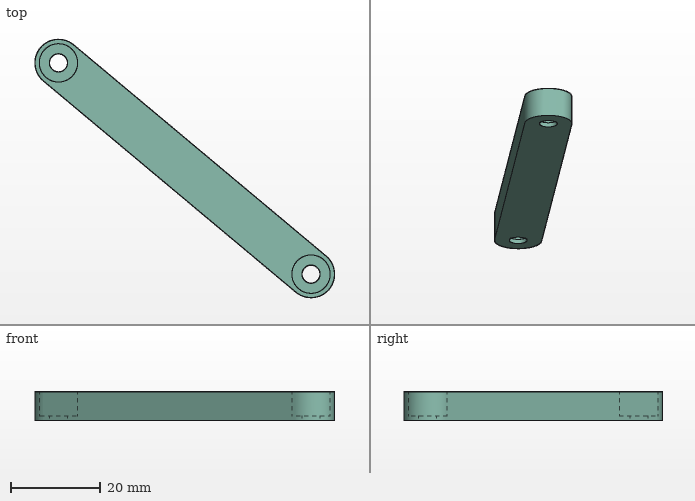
import cadquery as cq

size_x = 67.22
size_y = 57.97
thickness = 6.5

hole_diameter = 4.0
counterbore_diameter = 8.6
seat_floor = 1.0
counterbore_depth = thickness - seat_floor

rim_width = 1.0
end_radius = counterbore_diameter / 2 + rim_width

half_x = size_x / 2 - end_radius
half_y = size_y / 2 - end_radius
end_centers = [(-half_x, half_y), (half_x, -half_y)]


def make_bar():
    """Straight bar with full-round ends, joining the two end centres."""
    center_distance = 2 * cq.Vector(half_x, half_y).Length
    direction = cq.Vector(half_x, -half_y, 0)
    bar_plane = cq.Plane(origin=(0, 0, 0), xDir=direction, normal=(0, 0, 1))
    return (
        cq.Workplane(bar_plane)
        .slot2D(center_distance + 2 * end_radius, 2 * end_radius)
        .extrude(thickness)
    )


def make_screw_seat(center):
    """Solid to remove at one end: a through hole with a counterbore open at the top."""
    hole = cq.Workplane("XY").center(*center).circle(hole_diameter / 2).extrude(thickness)
    counterbore = (
        cq.Workplane("XY", origin=(0, 0, seat_floor))
        .center(*center)
        .circle(counterbore_diameter / 2)
        .extrude(counterbore_depth)
    )
    return hole.union(counterbore)


result = make_bar()
for end_center in end_centers:
    result = result.cut(make_screw_seat(end_center))